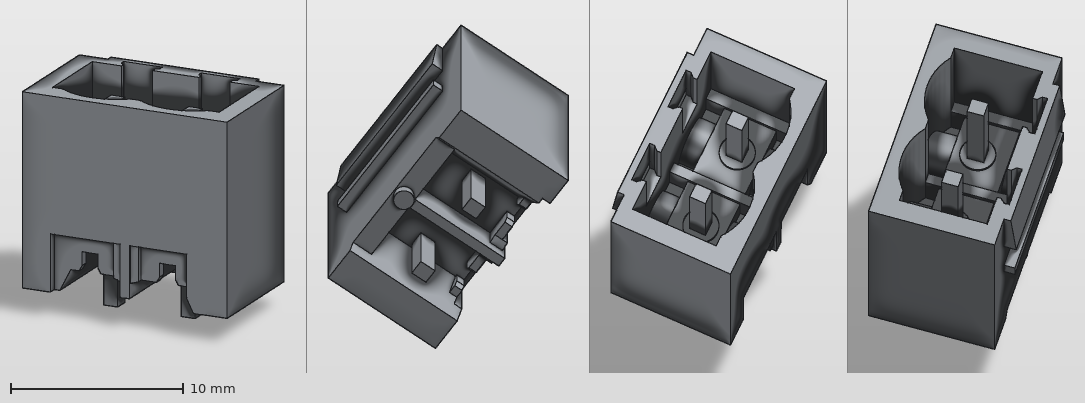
import cadquery as cq


width = 13.2
depth = 7.68
height = 12.0
total_depth = 8.42
overall_height = 13.5
pitch = 5.0
pin_xs = [-pitch / 2, pitch / 2]

pin_width = 0.9
pin_depth = 1.01
pin_y = 3.82
pin_tail = overall_height - height
pin_tip_z = height - 0.96

cavity_width = 10.75
cavity_front = 1.5
cavity_back = 6.86
arc_front = 0.74
divider_width = 0.62
pocket_width = pitch - divider_width
divider_top = 5.8
pocket_floor = 4.05

barrel_radius = 1.5
seat_top = pocket_floor + barrel_radius
seat_front = 2.32
seat_back = 5.68
boss_radius = 1.05
boss_height = 0.14

groove_mouth = 1.98
groove_width = 2.48
groove_step = (groove_width - groove_mouth) / 2
groove_neck = 0.25
groove_floor = height - 4.13

latch_width = 9.55
latch_bottom = height - 3.15
latch_lip = 0.42
tab_top = height - 5.29
tab_height = 0.73
tab_reach = 0.66

channel_ceiling = 2.56
front_wall = 1.07
back_wall = 1.32
back_wall_bottom = 0.61
skirt_bottom = 1.38
leg_gap_bottom = 8.87
leg_gap_skirt = 7.47
recess_left = -4.79
recess_right = 3.98
recess_top = 3.56
recess_depth = 0.54
slot_width = 1.01
slot_flare_width = 1.4
slot_flare_top = 1.71
rib_width = 0.61
rib_bottom = 0.31
pad_width = 1.59
pad_front = 0.18
pad_low = 1.19
peg_radius = 0.6


def block(x_range, y_range, z_range):
    """Axis-aligned box given by its limits."""
    (x0, x1), (y0, y1), (z0, z1) = x_range, y_range, z_range
    return cq.Workplane("XY").box(x1 - x0, y1 - y0, z1 - z0, centered=False).translate((x0, y0, z0))


def centred(x, size):
    """Limits of a span of the given size about x."""
    return x - size / 2, x + size / 2


def front_profile(points, y_range):
    """Prism with an X-Z outline, running over a range of Y."""
    y0, y1 = y_range
    return cq.Workplane("XZ", origin=(0, y0, 0)).polyline(points).close().extrude(y0 - y1)


def leg_gap(y_range, ceiling):
    """Opening between the legs, narrowing from the underside up to the ceiling."""
    slope = (leg_gap_bottom - leg_gap_skirt) / 2 / skirt_bottom
    low = leg_gap_bottom / 2
    high = low - slope * ceiling
    return front_profile([(-low, 0), (low, 0), (high, ceiling), (-high, ceiling)], y_range)


def pocket(x):
    """Deep pocket round one contact, with a scalloped front wall."""
    x0, x1 = centred(x, pocket_width)
    outline = (
        cq.Workplane("XY", origin=(0, 0, pocket_floor))
        .moveTo(x0, cavity_back)
        .lineTo(x0, cavity_front)
        .threePointArc((x, arc_front), (x1, cavity_front))
        .lineTo(x1, cavity_back)
        .close()
    )
    return outline.extrude(height - pocket_floor)


def seat(x):
    """Half barrel along Y with a square-topped seat and a round boss for the pin."""
    barrel = (
        cq.Workplane("XZ", origin=(x, 0, pocket_floor))
        .circle(barrel_radius)
        .extrude(-cavity_back)
        .intersect(pocket(x))
    )
    seat_block = block(centred(x, pocket_width), (seat_front, seat_back), (pocket_floor, seat_top))
    boss = cq.Workplane("XY", origin=(x, pin_y, seat_top)).circle(boss_radius).extrude(boss_height)
    return barrel.union(seat_block).union(boss)


def coding_groove(x):
    """Dovetail groove through the back wall, open at the top and closed behind by the latch."""
    mouth = groove_mouth / 2
    wide = groove_width / 2
    flank_start = cavity_back + groove_neck
    flank_end = flank_start + groove_step
    half = [(mouth, cavity_back), (mouth, flank_start), (wide, flank_end), (wide, depth)]
    outline = half + [(-px, py) for px, py in reversed(half)]
    return (
        cq.Workplane("XY", origin=(x, 0, groove_floor))
        .polyline(outline)
        .close()
        .extrude(height - groove_floor)
    )


def latch():
    """Wedge along the top of the back face."""
    points = [
        (depth, height), (depth + latch_lip, height),
        (total_depth, latch_bottom), (depth, latch_bottom),
    ]
    return cq.Workplane("YZ", origin=(-latch_width / 2, 0, 0)).polyline(points).close().extrude(latch_width)


def pin_slot(x):
    """Slot through the skirt in front of a pin, flared at its lower end."""
    half = slot_width / 2
    flare = slot_flare_width / 2
    points = [
        (x - flare, skirt_bottom), (x - half, slot_flare_top), (x - half, channel_ceiling),
        (x + half, channel_ceiling), (x + half, slot_flare_top), (x + flare, skirt_bottom),
    ]
    return front_profile(points, (0, front_wall))


def front_pad():
    """Raised pad behind the rib, its lower edge dropping towards the rib."""
    half = pad_width / 2
    rib_half = rib_width / 2
    points = [
        (-half, recess_top), (-half, skirt_bottom), (-rib_half, pad_low),
        (rib_half, pad_low), (half, skirt_bottom), (half, recess_top),
    ]
    return front_profile(points, (pad_front, front_wall))


def pin(x):
    """Straight rectangular contact pin."""
    return block(centred(x, pin_width), centred(pin_y, pin_depth), (-pin_tail, pin_tip_z))


def make_housing():
    body = block(centred(0, width), (0, depth), (0, height))
    body = body.cut(block(centred(0, cavity_width), (cavity_front, cavity_back), (divider_top, height)))

    channel_back = depth - back_wall
    body = body.cut(leg_gap((0, front_wall), skirt_bottom))
    body = body.cut(leg_gap((front_wall, channel_back), channel_ceiling))
    body = body.cut(leg_gap((channel_back, depth), back_wall_bottom))
    body = body.cut(block((recess_left, recess_right), (0, recess_depth), (0, recess_top)))
    body = body.union(front_pad())
    body = body.union(block(centred(0, rib_width), (0, channel_back), (rib_bottom, recess_top)))
    peg = cq.Workplane("XY", origin=(0, depth - back_wall / 2, 0)).circle(peg_radius)
    body = body.union(peg.extrude(back_wall_bottom))

    body = body.union(latch())
    tab_z = (tab_top - tab_height, tab_top)
    body = body.union(block(centred(0, latch_width), (depth, depth + tab_reach), tab_z))

    for x in pin_xs:
        body = body.cut(pocket(x))
        body = body.union(seat(x))
        body = body.cut(coding_groove(x))
        body = body.cut(pin_slot(x))
        body = body.cut(pin(x))
    return body


housing = make_housing()
pins = [pin(x) for x in pin_xs]

result = cq.Compound.makeCompound([housing.val(), *[p.val() for p in pins]])